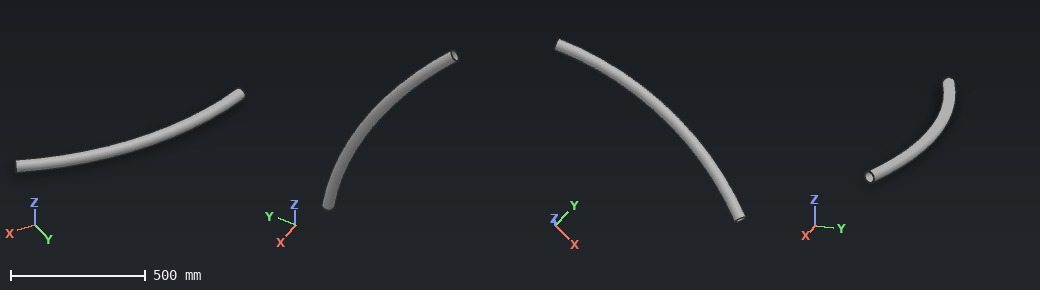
import cadquery as cq
import math

OUTER_DIAMETER = 48.3
WALL_THICKNESS = 3.6
BEND_RADIUS = 1250.0
BEND_ANGLE = 45.0

outer_radius = OUTER_DIAMETER / 2
inner_radius = outer_radius - WALL_THICKNESS
half_angle = math.radians(BEND_ANGLE / 2)


def point_on_centreline(angle):
    """Centreline point at an angle from the crown, positive toward +X."""
    return (BEND_RADIUS * math.sin(angle), BEND_RADIUS * (math.cos(angle) - 1))


def make_centreline():
    """Arc from the -X end over the crown to the +X end."""
    start = point_on_centreline(-half_angle)
    crown = point_on_centreline(0)
    end = point_on_centreline(half_angle)
    return cq.Workplane("XY").moveTo(*start).threePointArc(crown, end)


def make_tube():
    """Ring section, square to the bend, swept along the centreline."""
    start_plane = cq.Plane(
        origin=(*point_on_centreline(-half_angle), 0),
        xDir=(0, 0, 1),
        normal=(math.cos(half_angle), math.sin(half_angle), 0),
    )
    ring = cq.Workplane(start_plane).circle(outer_radius).circle(inner_radius)
    return ring.sweep(make_centreline())


result = make_tube()